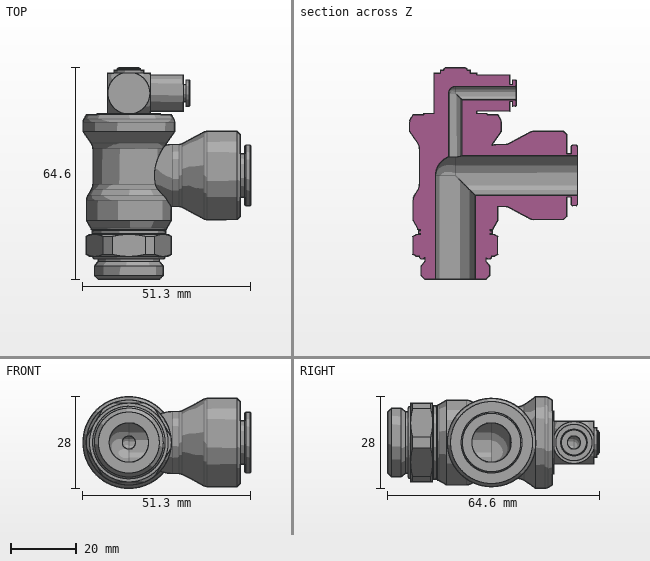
import cadquery as cq
import math


flange_radius = 14.0
neck_radius = 11.0
barrel_radius = 12.95
body_end_radius = 11.5
flange_end_y = 18.55
flange_shoulder_y = 13.4
flange_chamfer_width = 1.05
flange_chamfer_length = 1.8
neck_top_y = 9.1
neck_bottom_y = -3.5
barrel_top_y = -6.85
barrel_bottom_y = -13.7
barrel_taper_end_y = -16.2
body_end_y = -16.5
waist_blend_radius = 3.0
flange_blend_radius = 2.0
body_end_blend_radius = 0.8
end_disc_radius = 9.65
end_disc_thickness = 0.4

groove_radius = 10.7
ring_radius = 11.25
ring_top_y = -16.8
ring_bottom_y = -17.7

hex_across_flats = 24.0
hex_corner_radius = 13.0
hex_top_y = -17.95
hex_bottom_y = -24.65
hex_chamfer_length = 0.6

seal_mean_radius = 10.2
seal_section_radius = 0.87

undercut_radius = 9.4
undercut_end_y = -26.2
thread_radius = 10.5
thread_top_y = -27.55
thread_end_y = -31.67
thread_chamfer = 1.2

branch_neck_radius = 9.5
branch_dome_x = 13.3
branch_cone_x = 15.8
branch_head_x = 23.3
branch_head_radius = 13.5
branch_head_end_x = 34.0
branch_head_chamfer = 1.0
branch_blend_radius = 2.0
collet_neck_radius = 6.65
collet_flange_x = 35.25
collet_flange_radius = 9.3
branch_end_x = 37.27
collet_flange_chamfer = 0.4

elbow_width = 13.1
elbow_axis_y = 25.1
elbow_top_y = 31.2
elbow_rounding_radius = 9.15
cap_base_radius = 4.55
cap_base_end_y = 32.1
cap_radius = 3.6
cap_end_radius = 3.0
cap_end_y = 32.88
cap_chamfer_length = 0.4
outlet_radius = 5.55
outlet_end_x = 16.65
outlet_neck_radius = 2.7
outlet_flange_x = 17.4
outlet_flange_radius = 4.07
outlet_flange_end_x = 18.6
outlet_flange_chamfer = 0.25

main_bore_radius = 6.0
pilot_bore_radius = 2.0

match_tolerance = 0.001


def turned_about_y(profile):
    """Revolve a (radius, y) profile, closed through the axis, about Y."""
    points = [(0, profile[0][1])] + profile + [(0, profile[-1][1])]
    return cq.Workplane("XY").polyline(points).close().revolve(360, (0, 0), (0, 1))


def turned_about_x(profile, axis_y=0):
    """Revolve an (x, radius) profile, closed through the axis, about a line along X."""
    points = [(profile[0][0], 0)] + profile + [(profile[-1][0], 0)]
    outline = cq.Workplane("XY", origin=(0, axis_y, 0)).polyline(points).close()
    return outline.revolve(360, (0, 0), (1, 0))


def circles_at(part, axis, stations):
    """Collect the circular edges of a turned part that lie at the given (station, radius) pairs."""
    chosen = []
    for edge in part.edges("%CIRCLE").vals():
        centre = edge.Center()
        place = centre.y if axis == "Y" else centre.x
        for station, radius in stations:
            if math.dist((place, edge.radius()), (station, radius)) < match_tolerance:
                chosen.append(edge)
    return part.newObject(chosen)


def main_body():
    body = turned_about_y([
        (body_end_radius, body_end_y),
        (body_end_radius, barrel_taper_end_y),
        (barrel_radius, barrel_bottom_y),
        (barrel_radius, barrel_top_y),
        (neck_radius, neck_bottom_y),
        (neck_radius, neck_top_y),
        (flange_radius, flange_shoulder_y),
        (flange_radius, flange_end_y - flange_chamfer_length),
        (flange_radius - flange_chamfer_width, flange_end_y),
    ])
    waist = [
        (barrel_top_y, barrel_radius),
        (neck_bottom_y, neck_radius),
        (neck_top_y, neck_radius),
    ]
    flange_rim = [(flange_end_y - flange_chamfer_length, flange_radius)]
    taper_end = [(barrel_taper_end_y, body_end_radius)]
    body = circles_at(body, "Y", waist).fillet(waist_blend_radius)
    body = circles_at(body, "Y", flange_rim).fillet(flange_blend_radius)
    body = circles_at(body, "Y", taper_end).fillet(body_end_blend_radius)
    end_disc = turned_about_y([
        (end_disc_radius, flange_end_y),
        (end_disc_radius, flange_end_y + end_disc_thickness),
    ])
    return body.union(end_disc)


def threaded_end():
    return turned_about_y([
        (thread_radius - thread_chamfer, thread_end_y),
        (thread_radius, thread_end_y + thread_chamfer),
        (thread_radius, thread_top_y),
        (undercut_radius, undercut_end_y),
        (undercut_radius, hex_bottom_y),
        (groove_radius, hex_bottom_y),
        (groove_radius, ring_bottom_y),
        (ring_radius, ring_bottom_y),
        (ring_radius, ring_top_y),
        (groove_radius, ring_top_y),
        (groove_radius, body_end_y),
    ])


def sealing_ring():
    return (
        cq.Workplane("XY")
        .center(seal_mean_radius, hex_bottom_y)
        .circle(seal_section_radius)
        .revolve(360, (-seal_mean_radius, 0), (-seal_mean_radius, 1))
    )


def hexagon():
    across_corners = hex_across_flats / math.cos(math.pi / 6)
    length = hex_top_y - hex_bottom_y
    prism = (
        cq.Workplane("XZ", origin=(0, hex_top_y, 0))
        .polygon(6, across_corners)
        .extrude(length)
    )
    envelope = turned_about_y([
        (hex_across_flats / 2, hex_bottom_y),
        (hex_corner_radius, hex_bottom_y + hex_chamfer_length),
        (hex_corner_radius, hex_top_y - hex_chamfer_length),
        (hex_across_flats / 2, hex_top_y),
    ])
    return prism.intersect(envelope)


def side_branch():
    branch = turned_about_x([
        (branch_dome_x, branch_neck_radius),
        (branch_cone_x, branch_neck_radius),
        (branch_head_x, branch_head_radius),
        (branch_head_end_x - branch_head_chamfer, branch_head_radius),
        (branch_head_end_x, branch_head_radius - branch_head_chamfer),
        (branch_head_end_x, collet_neck_radius),
        (collet_flange_x, collet_neck_radius),
        (collet_flange_x, collet_flange_radius - collet_flange_chamfer),
        (collet_flange_x + collet_flange_chamfer, collet_flange_radius),
        (branch_end_x - collet_flange_chamfer, collet_flange_radius),
        (branch_end_x, collet_flange_radius - collet_flange_chamfer),
    ])
    blended = [(branch_cone_x, branch_neck_radius), (branch_head_x, branch_head_radius)]
    branch = circles_at(branch, "X", blended).fillet(branch_blend_radius)
    dome = cq.Workplane("XY", origin=(branch_dome_x, 0, 0)).sphere(branch_neck_radius)
    return branch.union(dome)


def small_elbow():
    block = (
        cq.Workplane("XZ", origin=(0, elbow_top_y, 0))
        .rect(elbow_width, elbow_width)
        .extrude(elbow_top_y - flange_end_y)
    )
    rounding = cq.Workplane("XY", origin=(0, elbow_axis_y, 0)).sphere(elbow_rounding_radius)
    cap = turned_about_y([
        (cap_base_radius, elbow_axis_y),
        (cap_base_radius, cap_base_end_y),
        (cap_radius, cap_base_end_y),
        (cap_radius, cap_end_y - cap_chamfer_length),
        (cap_end_radius, cap_end_y),
    ])
    outlet = turned_about_x([
        (0, outlet_radius),
        (outlet_end_x, outlet_radius),
        (outlet_end_x, outlet_neck_radius),
        (outlet_flange_x, outlet_neck_radius),
        (outlet_flange_x, outlet_flange_radius),
        (outlet_flange_end_x - outlet_flange_chamfer, outlet_flange_radius),
        (outlet_flange_end_x, outlet_flange_radius - outlet_flange_chamfer),
    ], elbow_axis_y)
    return block.intersect(rounding).union(cap).union(outlet)


def elbow_passage(radius, start_y, corner_y, end_x):
    """Round passage that runs along Y, turns at a spherical corner and leaves along +X."""
    inlet = turned_about_y([(radius, start_y), (radius, corner_y)])
    corner = cq.Workplane("XY", origin=(0, corner_y, 0)).sphere(radius)
    outlet = turned_about_x([(0, radius), (end_x, radius)], corner_y)
    return inlet.union(corner).union(outlet)


fitting = (
    main_body()
    .union(threaded_end())
    .union(hexagon())
    .union(sealing_ring())
    .union(side_branch())
    .union(small_elbow())
)
main_passage = elbow_passage(main_bore_radius, thread_end_y, 0, branch_end_x)
pilot_passage = elbow_passage(pilot_bore_radius, 0, elbow_axis_y, outlet_flange_end_x)
result = fitting.cut(main_passage).cut(pilot_passage)